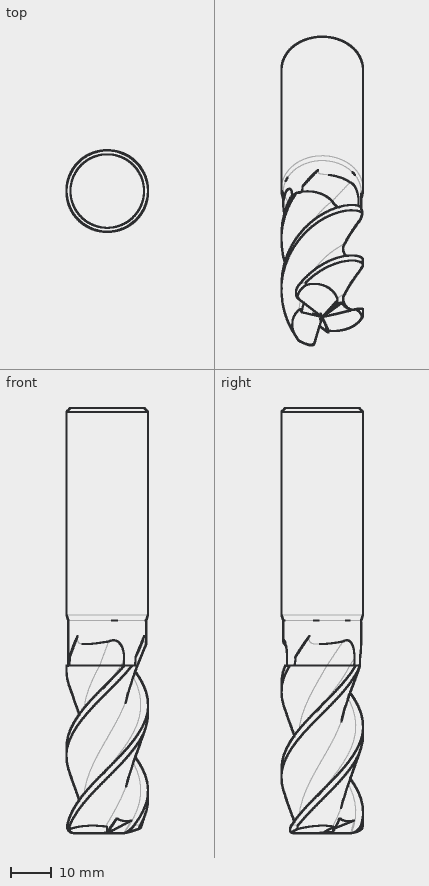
import cadquery as cq
import math

tool_length = 104.0
tool_radius = 10.0
flute_count = 3
flute_step = 360.0 / flute_count

shank_start = 53.4
shank_chamfer = 1.0
neck_radius = 9.55
neck_cone_start = 52.0
flute_top = 41.0

helix_angle = 45.0
helix_lead = 2 * math.pi * tool_radius / math.tan(math.radians(helix_angle))
flute_twist = 360.0 * flute_top / helix_lead
edge_angle_at_tip = 60.0
land_width_angle = 12.5
back_middle = (7.75, 46.0)
heel = (5.8, 76.5)
rake_depth_radius = 8.2

corner_radius = 2.0
end_relief_angle = 16.0
gash_corner_slopes = [
    (0.0, 0.0),
    (0.32, 0.41),
    (-0.05, 0.71),
    (-0.65, 0.0),
]
cutter_reach = 1.5 * tool_radius

runout_angle = 38.0
runout_turn = 3.5
runout_height = neck_cone_start - flute_top

seam_plane = cq.Plane(origin=(0, 0, 0), xDir=(0, -1, 0), normal=(-1, 0, 0))


def polar(radius, angle):
    turn = math.radians(angle)
    return radius * math.cos(turn), radius * math.sin(turn)


def add_back_and_flute(outline, edge_angle):
    """Continue from the end of a land, down the tooth's back and up the next rake face."""
    next_edge = edge_angle + flute_step
    rake_bottom = polar(rake_depth_radius, next_edge)
    rake_direction = polar(1.0, next_edge)
    heel_point = polar(heel[0], edge_angle + heel[1])

    to_heel = (heel_point[0] - rake_bottom[0], heel_point[1] - rake_bottom[1])
    across = (rake_direction[1], -rake_direction[0])
    chord_squared = to_heel[0] ** 2 + to_heel[1] ** 2
    heel_offset = to_heel[0] * across[0] + to_heel[1] * across[1]
    flute_radius = chord_squared / (2 * heel_offset)
    centre = (rake_bottom[0] + flute_radius * across[0], rake_bottom[1] + flute_radius * across[1])
    chord_middle = ((heel_point[0] + rake_bottom[0]) / 2, (heel_point[1] + rake_bottom[1]) / 2)
    bulge = (chord_middle[0] - centre[0], chord_middle[1] - centre[1])
    stretch = flute_radius / math.hypot(*bulge)
    flute_middle = (centre[0] + stretch * bulge[0], centre[1] + stretch * bulge[1])

    return (
        outline.threePointArc(polar(back_middle[0], edge_angle + back_middle[1]), heel_point)
        .threePointArc(flute_middle, rake_bottom)
        .lineTo(*polar(tool_radius, next_edge))
    )


def make_fluted_blank():
    outline = cq.Workplane("XY").moveTo(*polar(tool_radius, edge_angle_at_tip))
    for tooth in range(flute_count):
        edge = edge_angle_at_tip + tooth * flute_step
        land_middle = polar(tool_radius, edge + land_width_angle / 2)
        land_end = polar(tool_radius, edge + land_width_angle)
        outline = add_back_and_flute(outline.threePointArc(land_middle, land_end), edge)
    return outline.close().twistExtrude(flute_top, flute_twist)


def make_corner_envelope():
    corner_centre = tool_radius - corner_radius
    diagonal = corner_radius * math.sqrt(0.5)
    return (
        cq.Workplane(seam_plane)
        .lineTo(corner_centre, 0)
        .threePointArc((corner_centre + diagonal, corner_radius - diagonal), (tool_radius, corner_radius))
        .lineTo(tool_radius, flute_top)
        .lineTo(0, flute_top)
        .close()
        .revolve(360, (0, 0), (0, 1))
    )


def make_end_relief():
    """Wedge under a tooth whose cutting edge lies along +X, rising away from the edge."""
    rise = cutter_reach * math.tan(math.radians(end_relief_angle))
    return (
        cq.Workplane("YZ")
        .polyline([(0, 0), (cutter_reach, 0), (cutter_reach, rise)])
        .close()
        .extrude(cutter_reach)
    )


def make_gash():
    """Pyramid-shaped notch in front of a cutting edge along +X, with its apex on the axis."""
    apex = (0, 0, 0)
    corners = [
        (cutter_reach, cutter_reach * sideways, cutter_reach * upwards)
        for sideways, upwards in gash_corner_slopes
    ]
    outlines = [corners]
    for corner, next_corner in zip(corners, corners[1:] + corners[:1]):
        outlines.append([apex, corner, next_corner])
    faces = [cq.Face.makeFromWires(cq.Wire.makePolygon(outline, close=True)) for outline in outlines]
    return cq.Workplane(cq.Solid.makeSolid(cq.Shell.makeShell(faces)))


def make_cutter_body():
    body = make_fluted_blank().intersect(make_corner_envelope())
    tip_cut = make_end_relief().union(make_gash())
    for tooth in range(flute_count):
        edge = edge_angle_at_tip + tooth * flute_step
        body = body.cut(tip_cut.rotate((0, 0, 0), (0, 0, 1), edge))
    return body


def make_flute_runout():
    """Flute below an edge along +X, carried up and outwards along that edge's direction."""
    land_end = polar(tool_radius, land_width_angle - flute_step)

    def flute_wire(height, outward):
        outline = cq.Workplane("XY").moveTo(*land_end)
        outline = add_back_and_flute(outline, -flute_step)
        outline = outline.lineTo(cutter_reach, 0).lineTo(cutter_reach, -cutter_reach)
        outline = outline.lineTo(land_end[0], -cutter_reach).close()
        return outline.val().translate(cq.Vector(*polar(outward, runout_turn), height))

    outward = runout_height * math.tan(math.radians(runout_angle))
    wires = [flute_wire(flute_top, 0), flute_wire(flute_top + runout_height, outward)]
    return cq.Workplane(cq.Solid.makeLoft(wires, True))


def make_shank():
    shank = (
        cq.Workplane(seam_plane)
        .moveTo(0, flute_top)
        .lineTo(neck_radius, flute_top)
        .lineTo(neck_radius, neck_cone_start)
        .lineTo(tool_radius, shank_start)
        .lineTo(tool_radius, tool_length - shank_chamfer)
        .lineTo(tool_radius - shank_chamfer, tool_length)
        .lineTo(0, tool_length)
        .close()
        .revolve(360, (0, 0), (0, 1))
    )
    edge_angle_at_neck = edge_angle_at_tip + flute_twist
    runout = make_flute_runout()
    for flute in range(flute_count):
        edge = edge_angle_at_neck + flute * flute_step
        shank = shank.cut(runout.rotate((0, 0, 0), (0, 0, 1), edge))
    return shank


cutter_body = make_cutter_body()
shank = make_shank()

result = cq.Compound.makeCompound([cutter_body.val(), shank.val()])